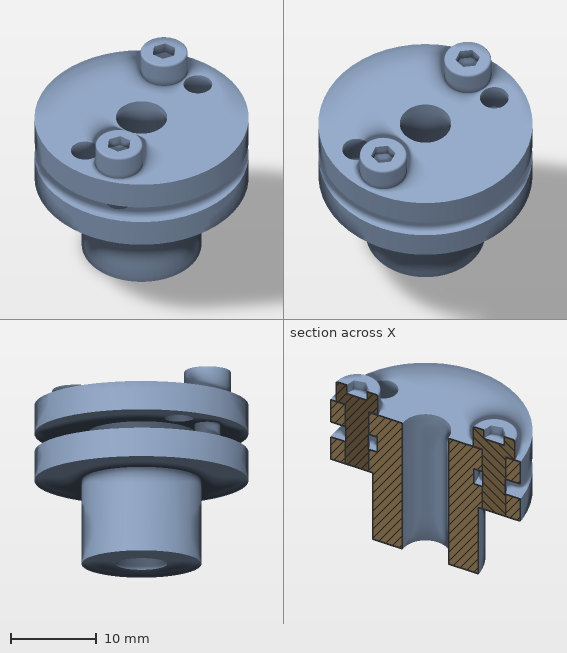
import cadquery as cq
import math

flange_diameter = 25.0
flange_thickness = 3.4
flange_gap = 2.2
hub_diameter = 14.0
hub_length = 10.0
neck_diameter = 12.8
bore_diameter = 6.0

bolt_circle_radius = 9.0
screw_angles = (90.0, 270.0)
open_hole_diameter = 3.35
open_hole_angles = (60.0, 240.0)

screw_diameter = 3.0
head_diameter = 5.5
head_height = 3.0
head_edge_radius = 0.25
socket_across_flats = 2.5
socket_depth = 1.3
socket_rotation = 41.5

lower_flange_bottom = hub_length
lower_flange_top = lower_flange_bottom + flange_thickness
upper_flange_bottom = lower_flange_top + flange_gap
upper_flange_top = upper_flange_bottom + flange_thickness

screw_length = upper_flange_top - lower_flange_bottom
socket_across_corners = socket_across_flats / math.cos(math.radians(30))


def bolt_circle_point(angle):
    """Point on the bolt circle at the given angle in degrees."""
    turn = math.radians(angle)
    return (bolt_circle_radius * math.cos(turn), bolt_circle_radius * math.sin(turn))


def cylinder(diameter, bottom, height, centers=((0, 0),)):
    """Upright cylinders of one size standing at the given level."""
    return (
        cq.Workplane("XY")
        .workplane(offset=bottom)
        .pushPoints(centers)
        .circle(diameter / 2)
        .extrude(height)
    )


def make_housing():
    """Hub with two flanges joined by a neck, bored through and drilled for the screws."""
    hub = cylinder(hub_diameter, 0, hub_length)
    lower_flange = cylinder(flange_diameter, lower_flange_bottom, flange_thickness)
    neck = cylinder(neck_diameter, lower_flange_top, flange_gap)
    upper_flange = cylinder(flange_diameter, upper_flange_bottom, flange_thickness)
    body = hub.union(lower_flange).union(neck).union(upper_flange)

    bore = cylinder(bore_diameter, 0, upper_flange_top)
    screw_points = [bolt_circle_point(angle) for angle in screw_angles]
    screw_holes = cylinder(screw_diameter, lower_flange_bottom, screw_length, screw_points)
    open_points = [bolt_circle_point(angle) for angle in open_hole_angles]
    open_holes = cylinder(open_hole_diameter, upper_flange_bottom, flange_thickness, open_points)
    return body.cut(bore).cut(screw_holes).cut(open_holes)


def make_screw(center):
    """Socket head screw seated on the upper flange and reaching through the lower one."""
    head = cylinder(head_diameter, 0, head_height).faces(">Z").edges().fillet(head_edge_radius)
    shank = cylinder(screw_diameter, -screw_length, screw_length)
    socket = (
        cq.Workplane("XY")
        .workplane(offset=head_height - socket_depth)
        .polygon(6, socket_across_corners)
        .extrude(socket_depth)
        .rotate((0, 0, 0), (0, 0, 1), socket_rotation)
    )
    x, y = center
    return head.union(shank).cut(socket).translate((x, y, upper_flange_top))


housing = make_housing()
screws = [make_screw(bolt_circle_point(angle)) for angle in screw_angles]

result = cq.Compound.makeCompound([housing.val(), *[screw.val() for screw in screws]])